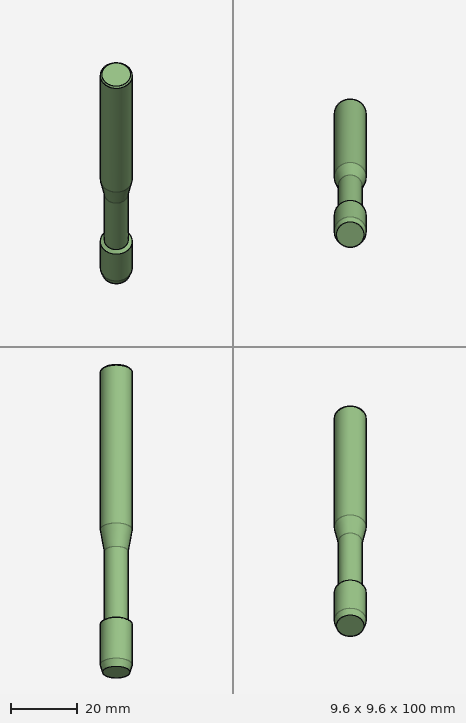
import cadquery as cq

overall_length = 100.0
body_radius = 4.8
neck_radius = 3.6

lead_radius = 4.1
lead_length = 2.4
head_length = 16.6
back_chamfer_length = 0.7

taper_start = 40.0
taper_end = 47.2
end_chamfer = 0.5


def make_turned_body(profile):
    """Revolve a closed half-profile of (radius, height) points about Z, starting on the -Y side."""
    return (
        cq.Workplane("YZ")
        .polyline([(-radius, height) for radius, height in profile])
        .close()
        .revolve(360, (0, 0, 0), (0, 1, 0))
    )


def make_head():
    return make_turned_body([
        (0, 0),
        (lead_radius, 0),
        (body_radius, lead_length),
        (body_radius, head_length - back_chamfer_length),
        (neck_radius, head_length),
        (0, head_length),
    ])


def make_shank():
    """The neck stands on the flat top of the head."""
    return make_turned_body([
        (0, head_length),
        (neck_radius, head_length),
        (neck_radius, taper_start),
        (body_radius, taper_end),
        (body_radius, overall_length - end_chamfer),
        (body_radius - end_chamfer, overall_length),
        (0, overall_length),
    ])


head = make_head()
shank = make_shank()

result = cq.Compound.makeCompound([head.val(), shank.val()])